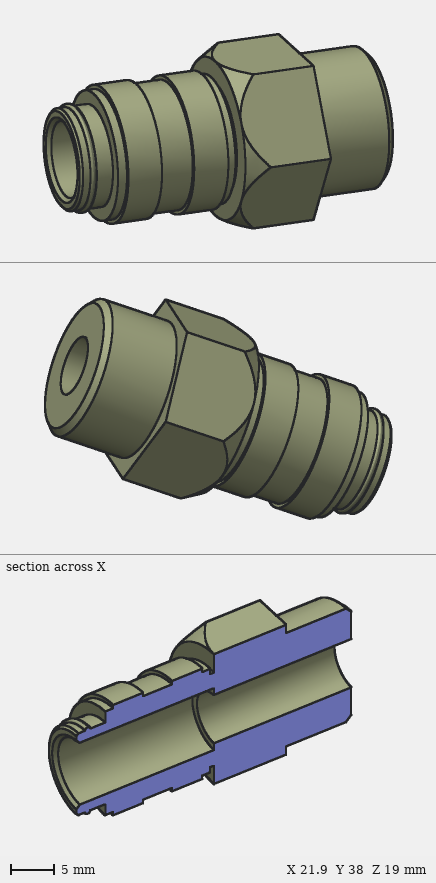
import cadquery as cq
import math

total_length = 38.0
across_flats = 19.0

snap_ring_start = 1.2
snap_ring_end = 1.98
body_start = 4.0
front_collar_start = 5.1
front_collar_end = 9.25
rear_collar_start = 13.22
rear_collar_end = 17.45
body_end = 18.5
hex_start = 19.0
hex_end = 29.0

spigot_radius = 6.0
snap_ring_radius = 6.35
body_radius = 7.6
collar_radius = 8.1
neck_radius = 6.85
rear_radius = 8.32

tip_chamfer = 0.3
rear_chamfer = 0.75
hex_chamfer_angle = 30.0
snap_ring_fillet = 0.35

bore_radius = 3.5
counterbore_radius = 4.5
counterbore_depth = 19.0
mouth_chamfer = 0.5


def cylinder(radius, start, end):
    """Solid cylinder about the Y axis between two stations."""
    base = cq.Workplane("XZ", origin=(0, start, 0))
    return base.circle(radius).extrude(start - end)


def hexagon():
    """Hexagonal nut with its front corners cut by a cone."""
    across_corners = across_flats / math.cos(math.radians(30))
    blank = cq.Workplane("XZ", origin=(0, hex_start, 0)).polygon(6, across_corners)
    blank = blank.extrude(hex_start - hex_end)
    face_radius = across_flats / 2
    corner_radius = across_corners / 2
    chamfer_length = (corner_radius - face_radius) / math.tan(math.radians(hex_chamfer_angle))
    envelope = (
        cq.Workplane("XY")
        .moveTo(0, hex_start)
        .lineTo(face_radius, hex_start)
        .lineTo(corner_radius, hex_start + chamfer_length)
        .lineTo(corner_radius, hex_end)
        .lineTo(0, hex_end)
        .close()
        .revolve(360, (0, 0, 0), (0, 1, 0))
    )
    return blank.intersect(envelope)


spigot = cylinder(spigot_radius, 0, body_start).faces("<Y").edges().chamfer(tip_chamfer)
snap_ring = cylinder(snap_ring_radius, snap_ring_start, snap_ring_end)
snap_ring = snap_ring.edges("%CIRCLE").fillet(snap_ring_fillet)

body = cylinder(body_radius, body_start, body_end)
front_collar = cylinder(collar_radius, front_collar_start, front_collar_end)
rear_collar = cylinder(collar_radius, rear_collar_start, rear_collar_end)
neck = cylinder(neck_radius, body_end, hex_start)

rear = cylinder(rear_radius, hex_end, total_length).faces(">Y").edges().chamfer(rear_chamfer)

result = spigot
for section in (snap_ring, body, front_collar, rear_collar, neck, hexagon(), rear):
    result = result.union(section)

counterbore = cylinder(counterbore_radius, 0, counterbore_depth)
mouth_radius = counterbore_radius + mouth_chamfer
mouth_cone = (
    cq.Workplane("XY")
    .lineTo(mouth_radius, 0)
    .lineTo(counterbore_radius, mouth_chamfer)
    .lineTo(0, mouth_chamfer)
    .close()
    .revolve(360, (0, 0, 0), (0, 1, 0))
)
result = result.cut(cylinder(bore_radius, 0, total_length)).cut(counterbore).cut(mouth_cone)